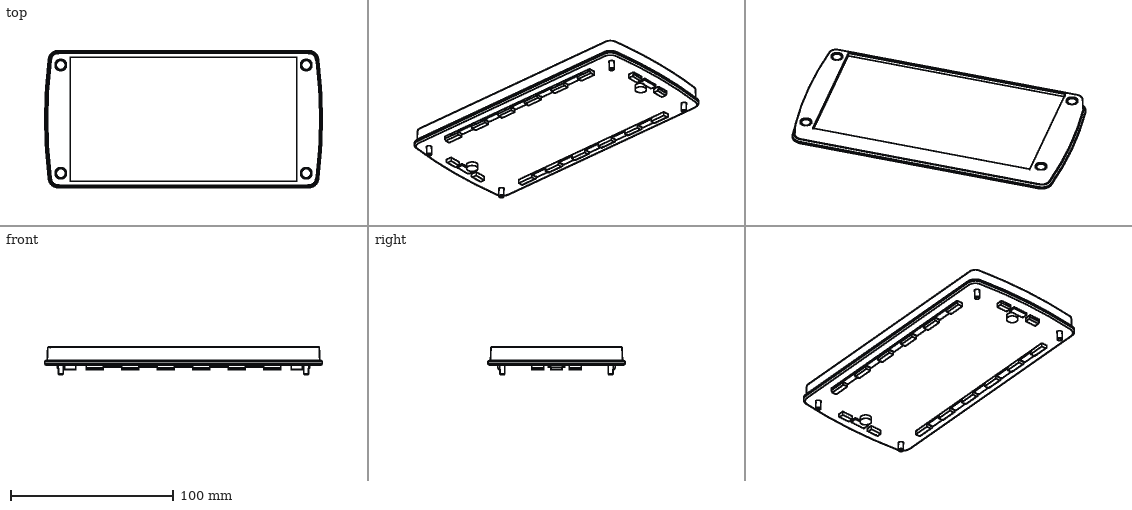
import cadquery as cq
import math

HALF_LENGTH = 85.5
HALF_WIDTH = 42.3
TOP_Z = 17.1
END_RADIUS = 296.0
CORNER_RADIUS = 6.5

RIM_BOTTOM_Z = 5.6
RIM_HEIGHT = 3.3
RIM_BEVEL = 1.0
RIM_TOP_Z = RIM_BOTTOM_Z + RIM_HEIGHT

WALL_INSET = 1.5
WALL_DRAFT = 2.0
TOP_ROUND = 1.0

RECESS_LENGTH = 139.6
RECESS_WIDTH = 76.3
RECESS_DEPTH = 2.0

SCREW_X = 75.6
SCREW_Y = 33.4
HEAD_DIAMETER = 6.3
HEAD_FACE_DIAMETER = 5.6
HEAD_HEIGHT = 3.5
HEAD_DOME = 0.3
HEAD_DEPTH = 0.2
SHANK_DIAMETER = 3.0
SHANK_HOLE_DIAMETER = 3.5
TIP_BEVEL = 0.5
HEAD_HOLE_DIAMETER = 7.0
HEAD_TOP_Z = TOP_Z - HEAD_DEPTH
HEAD_SEAT_Z = HEAD_TOP_Z - HEAD_HEIGHT

LUG_BOTTOM_Z = 3.0
LUG_HEIGHT = RIM_BOTTOM_Z - LUG_BOTTOM_Z
LUG_BEVEL = 1.0
LUG_DEPTH = 4.1
LUG_FACE_X = 77.7
LUG_FACE_Y = 36.3
LONG_SIDE_LUG_WIDTH = 10.6
LONG_SIDE_PITCH = 21.9
LONG_SIDE_LUG_COUNT = 6
SHORT_END_LUG_WIDTH = 7.5
SHORT_END_PITCH = 23.1
SHORT_END_LUG_COUNT = 2
PAD_WIDTH = 10.3
PAD_HEIGHT = 1.0

STUD_DIAMETER = 7.0
STUD_X = 69.8

SCREW_PLACES = [(sx * SCREW_X, sy * SCREW_Y) for sx in (-1, 1) for sy in (-1, 1)]


def bulged_outline(z, inset):
    """Round-cornered rectangle with outward-bowed short ends, shrunk by `inset`."""
    half_length = HALF_LENGTH - inset
    half_width = HALF_WIDTH - inset
    corner_radius = CORNER_RADIUS - inset
    end_radius = END_RADIUS - inset

    end_center_x = half_length - end_radius
    corner_y = half_width - corner_radius
    end_angle = math.asin(corner_y / (end_radius - corner_radius))
    corner_x = end_center_x + (end_radius - corner_radius) * math.cos(end_angle)
    touch_x = end_center_x + end_radius * math.cos(end_angle)
    touch_y = end_radius * math.sin(end_angle)
    middle_angle = (end_angle + math.pi / 2) / 2
    middle_x = corner_x + corner_radius * math.cos(middle_angle)
    middle_y = corner_y + corner_radius * math.sin(middle_angle)

    return (
        cq.Workplane("XY", origin=(0, 0, z))
        .moveTo(-corner_x, -half_width)
        .lineTo(corner_x, -half_width)
        .threePointArc((middle_x, -middle_y), (touch_x, -touch_y))
        .threePointArc((half_length, 0), (touch_x, touch_y))
        .threePointArc((middle_x, middle_y), (corner_x, half_width))
        .lineTo(-corner_x, half_width)
        .threePointArc((-middle_x, middle_y), (-touch_x, touch_y))
        .threePointArc((-half_length, 0), (-touch_x, -touch_y))
        .threePointArc((-middle_x, -middle_y), (-corner_x, -half_width))
        .close()
    )


def make_rim():
    rim = bulged_outline(RIM_BOTTOM_Z, 0).extrude(RIM_HEIGHT)
    return rim.faces("<Z or >Z").edges().chamfer(RIM_BEVEL)


def make_wall():
    """Drafted upper part of the lid with a rounded top edge."""
    wall = bulged_outline(RIM_TOP_Z, WALL_INSET).extrude(TOP_Z - RIM_TOP_Z, taper=WALL_DRAFT)
    return wall.faces(">Z").edges().fillet(TOP_ROUND)


def make_recess():
    return (
        cq.Workplane("XY", origin=(0, 0, TOP_Z - RECESS_DEPTH))
        .rect(RECESS_LENGTH, RECESS_WIDTH)
        .extrude(RECESS_DEPTH)
    )


def make_lug(width, face):
    """Lug centred on X = 0 with its bevelled outer face at Y = -face."""
    profile = [
        (-face, RIM_BOTTOM_Z),
        (-face, LUG_BOTTOM_Z + LUG_BEVEL),
        (-face + LUG_BEVEL, LUG_BOTTOM_Z),
        (-face + LUG_DEPTH, LUG_BOTTOM_Z),
        (-face + LUG_DEPTH, RIM_BOTTOM_Z),
    ]
    return cq.Workplane("YZ").polyline(profile).close().extrude(width / 2, both=True)


def make_pad(face):
    """Shallow pad centred on X = 0 with its outer face at Y = -face."""
    base = cq.Workplane("XY", origin=(0, -face, RIM_BOTTOM_Z - PAD_HEIGHT))
    return base.box(PAD_WIDTH, LUG_DEPTH, PAD_HEIGHT, centered=(True, False, False))


def make_lug_row(lug_width, face, pitch, lug_count):
    """Row of lugs along -Y with a pad midway between each two."""
    lug = make_lug(lug_width, face)
    pad = make_pad(face)
    first_x = -pitch * (lug_count - 1) / 2
    row = []
    for i in range(lug_count):
        row.append(lug.translate((first_x + i * pitch, 0, 0)))
    for i in range(lug_count - 1):
        row.append(pad.translate((first_x + (i + 0.5) * pitch, 0, 0)))
    return row


def make_lugs_and_pads():
    long_row = make_lug_row(
        LONG_SIDE_LUG_WIDTH, LUG_FACE_Y, LONG_SIDE_PITCH, LONG_SIDE_LUG_COUNT
    )
    short_row = make_lug_row(
        SHORT_END_LUG_WIDTH, LUG_FACE_X, SHORT_END_PITCH, SHORT_END_LUG_COUNT
    )
    placed = []
    for row, angles in ((long_row, (0, 180)), (short_row, (90, 270))):
        for angle in angles:
            placed += [piece.rotate((0, 0, 0), (0, 0, 1), angle) for piece in row]
    return placed


def make_studs():
    return (
        cq.Workplane("XY", origin=(0, 0, LUG_BOTTOM_Z))
        .pushPoints([(-STUD_X, 0), (STUD_X, 0)])
        .circle(STUD_DIAMETER / 2)
        .extrude(LUG_HEIGHT)
    )


def make_screw_holes():
    shank_holes = (
        cq.Workplane("XY")
        .pushPoints(SCREW_PLACES)
        .circle(SHANK_HOLE_DIAMETER / 2)
        .extrude(TOP_Z)
    )
    head_holes = (
        cq.Workplane("XY", origin=(0, 0, HEAD_SEAT_Z))
        .pushPoints(SCREW_PLACES)
        .circle(HEAD_HOLE_DIAMETER / 2)
        .extrude(TOP_Z - HEAD_SEAT_Z)
    )
    return shank_holes.union(head_holes)


def make_lid():
    lid = make_rim().union(make_wall()).cut(make_recess())
    lid = lid.union(make_studs())
    for piece in make_lugs_and_pads():
        lid = lid.union(piece)
    return lid.cut(make_screw_holes())


def make_screw(x, y):
    """Domed screw, a solid of revolution about its own axis, with its tip at Z = 0."""
    head_radius = HEAD_DIAMETER / 2
    face_radius = HEAD_FACE_DIAMETER / 2
    shank_radius = SHANK_DIAMETER / 2
    dome_z = HEAD_TOP_Z - HEAD_DOME
    shoulder_z = dome_z - (head_radius - face_radius)
    sphere_radius = (face_radius**2 + HEAD_DOME**2) / (2 * HEAD_DOME)

    half_radius = face_radius / 2
    half_z = HEAD_TOP_Z - sphere_radius + math.sqrt(sphere_radius**2 - half_radius**2)
    return (
        cq.Workplane("XZ")
        .moveTo(0, 0)
        .lineTo(shank_radius - TIP_BEVEL, 0)
        .lineTo(shank_radius, TIP_BEVEL)
        .lineTo(shank_radius, HEAD_SEAT_Z)
        .lineTo(head_radius, HEAD_SEAT_Z)
        .lineTo(head_radius, shoulder_z)
        .lineTo(face_radius, dome_z)
        .threePointArc((half_radius, half_z), (0, HEAD_TOP_Z))
        .close()
        .revolve(360, (0, 0), (0, 1))
        .translate((x, y, 0))
    )


lid = make_lid()
screws = [make_screw(x, y) for x, y in SCREW_PLACES]

result = cq.Compound.makeCompound([lid.val(), *[screw.val() for screw in screws]])